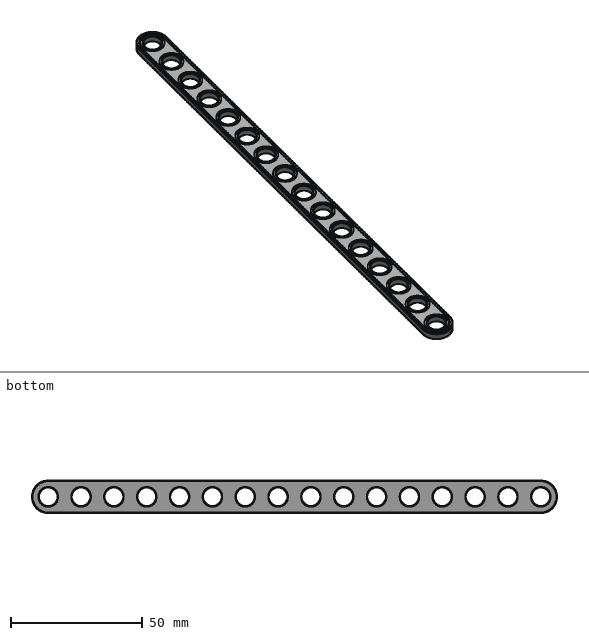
import cadquery as cq

length = 200.0
hole_count = 16
pitch = length / hole_count
width = pitch
thickness = pitch / 4

hole_diameter = 7.0
edge_chamfer = 0.3

rim_width = 1.1
collar_diameter = 9.2
pocket_depth = 0.2

hole_span = pitch * (hole_count - 1)
hole_centers = [(i * pitch - hole_span / 2, 0) for i in range(hole_count)]


def round_ended_bar(bar_length, bar_width, height):
    """Bar with full-round ends, standing on the XY plane."""
    return cq.Workplane("XY").slot2D(bar_length, bar_width).extrude(height)


def cylinders_at_holes(diameter, height):
    """One cylinder at every hole position, standing on the XY plane."""
    return cq.Workplane("XY").pushPoints(hole_centers).circle(diameter / 2).extrude(height)


def drilled_strip():
    """Strip with its row of holes, chamfered around the outline and holes on both faces."""
    strip = round_ended_bar(length, width, thickness)
    strip = strip.cut(cylinders_at_holes(hole_diameter, thickness))
    return strip.faces("<Z or >Z").edges().chamfer(edge_chamfer)


def top_pocket():
    """Volume removed from the top face, leaving the rim and a collar around each hole."""
    pocket = round_ended_bar(length - 2 * rim_width, width - 2 * rim_width, pocket_depth)
    pocket = pocket.cut(cylinders_at_holes(collar_diameter, pocket_depth))
    return pocket.translate((0, 0, thickness - pocket_depth))


result = drilled_strip().cut(top_pocket())